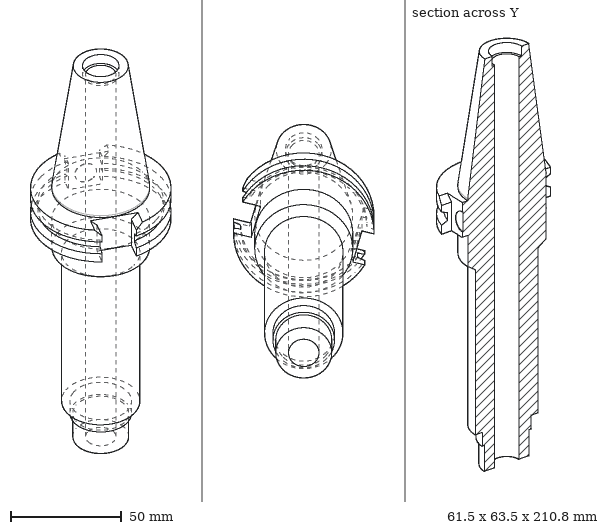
import cadquery as cq

total_length = 210.8

taper_length = 68.3
taper_small_radius = 12.5
gauge_radius = 22.1
gauge_z = total_length - taper_length

flange_diameter = 63.5
flange_radius = flange_diameter / 2
flange_height = 18.0
gauge_to_flange = 1.0
flange_top_z = gauge_z - gauge_to_flange
flange_bottom_z = flange_top_z - flange_height
upper_rim_height = 6.5
lower_rim_height = 4.6
groove_floor_radius = 28.5
groove_wall_height = 1.5
upper_rim_z = flange_top_z - upper_rim_height
lower_rim_z = flange_bottom_z + lower_rim_height

collar_radius = gauge_radius
collar_length = 15.8
collar_bottom_z = flange_bottom_z - collar_length
neck_cone_height = 3.2
shank_radius = 17.7
shank_bottom_z = 20.2
nose_step_radius = 14.0
nose_step_z = 13.3
nose_radius = 12.7

bore_diameter = 13.7
counterbore_diameter = 16.5
counterbore_depth = 5.0

slot_width = 16.0
slot_chamfer = 3.2
left_slot_floor = 25.0
right_slot_floor = 22.4

recess_diameter = 10.1
recess_depth = 0.2
recess_height = 8.0
recess_z = flange_bottom_z + recess_height


def make_body():
    """Revolve the half profile of the holder around Z."""
    profile = [
        (0, 0),
        (nose_radius, 0),
        (nose_radius, nose_step_z),
        (nose_step_radius, nose_step_z),
        (nose_step_radius, shank_bottom_z),
        (shank_radius, shank_bottom_z),
        (shank_radius, collar_bottom_z - neck_cone_height),
        (collar_radius, collar_bottom_z),
        (collar_radius, flange_bottom_z),
        (flange_radius, flange_bottom_z),
        (flange_radius, lower_rim_z),
        (groove_floor_radius, lower_rim_z + groove_wall_height),
        (groove_floor_radius, upper_rim_z - groove_wall_height),
        (flange_radius, upper_rim_z),
        (flange_radius, flange_top_z),
        (gauge_radius, flange_top_z),
        (gauge_radius, gauge_z),
        (taper_small_radius, total_length),
        (0, total_length),
    ]
    return cq.Workplane("XZ").polyline(profile).close().revolve(360, (0, 0), (0, 1))


def make_slot_cutter(floor_distance, side):
    """Drive slot with chamfered upper edges, on the +X (side = 1) or -X (side = -1) side."""
    half_width = slot_width / 2
    mouth_half_width = half_width + slot_chamfer
    outline = [
        (-half_width, flange_bottom_z),
        (half_width, flange_bottom_z),
        (half_width, flange_top_z - slot_chamfer),
        (mouth_half_width, flange_top_z),
        (-mouth_half_width, flange_top_z),
        (-half_width, flange_top_z - slot_chamfer),
    ]
    plane = cq.Workplane("YZ", origin=(side * floor_distance, 0, 0))
    return plane.polyline(outline).close().extrude(side * flange_radius)


def make_recess_cutter():
    plane = cq.Workplane("YZ", origin=(-left_slot_floor, 0, recess_z))
    return plane.circle(recess_diameter / 2).extrude(recess_depth)


result = (
    make_body()
    .cut(make_slot_cutter(left_slot_floor, -1))
    .cut(make_slot_cutter(right_slot_floor, 1))
    .cut(make_recess_cutter())
    .faces(">Z")
    .workplane(origin=(0, 0, total_length))
    .cboreHole(bore_diameter, counterbore_diameter, counterbore_depth)
)